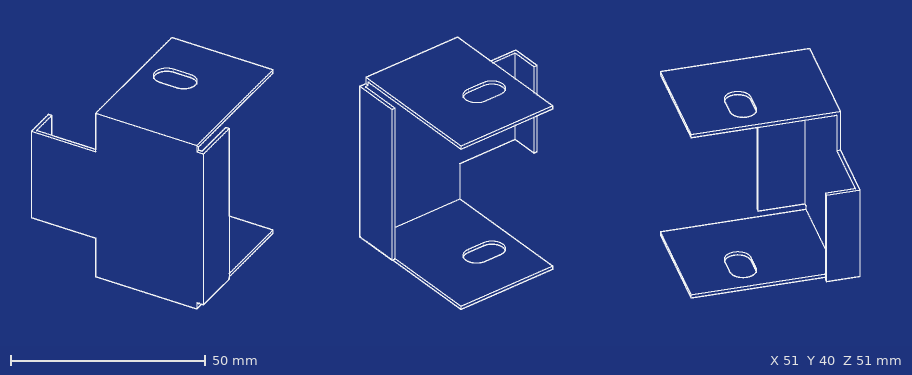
import cadquery as cq

length = 51.0
depth = 39.95
height = 51.0
sheet = 1.0

tab_length = 19.0
tab_height = 27.0
notch = 2.0
flange_length = length - tab_length - notch

tab_lip_depth = 9.0
end_lip_depth = 13.5
end_lip_height = height - 2 * notch

slot_length = 12.0
slot_width = 7.0
slot_x = 29.0
slot_y = 24.0


def panel(x_start, x_size, y_size, z_size, z_center=0.0):
    """Box that starts on the front face and is centered on z_center."""
    return (
        cq.Workplane("XY")
        .box(x_size, y_size, z_size, centered=(False, False, True))
        .translate((x_start, 0, z_center))
    )


plate = panel(tab_length, flange_length, sheet, height)
plate = plate.union(panel(0, tab_length, sheet, tab_height))
plate = plate.union(panel(length - notch, notch, sheet, end_lip_height))

tab_lip = panel(0, sheet, tab_lip_depth, tab_height)
end_lip = panel(length - sheet, sheet, end_lip_depth, end_lip_height)
bracket = plate.union(tab_lip).union(end_lip)

for side in (-1, 1):
    flange_z = side * (height - sheet) / 2
    bracket = bracket.union(panel(tab_length, flange_length, depth, sheet, flange_z))

slot = (
    cq.Workplane("XY")
    .center(slot_x, slot_y)
    .slot2D(slot_length, slot_width)
    .extrude(height / 2, both=True)
)

result = bracket.cut(slot)